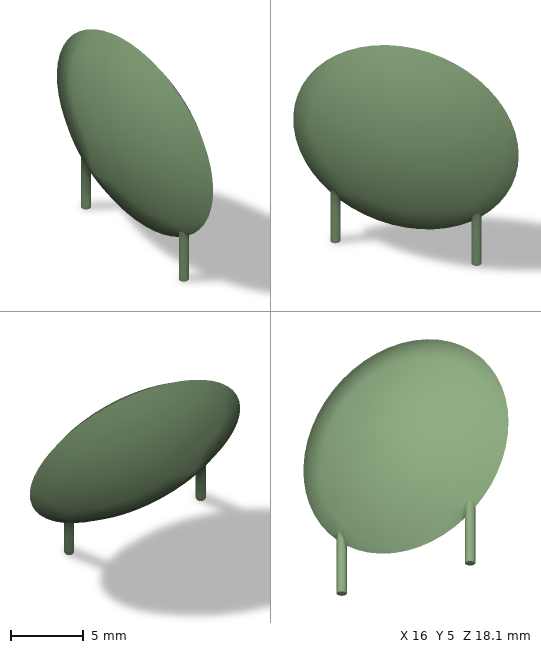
import cadquery as cq
import math

total_height = 18.1
disc_diameter = 16.0
disc_thickness = 5.0
pin_diameter = 0.7
pin_spacing = 10.01

disc_radius = disc_diameter / 2
half_thickness = disc_thickness / 2
pin_bottom = disc_radius - total_height

sphere_radius = (disc_radius**2 + half_thickness**2) / (2 * half_thickness)
half_cap_angle = math.asin(disc_radius / sphere_radius) / 2
arc_mid_x = sphere_radius * math.sin(half_cap_angle)
arc_mid_y = half_thickness - sphere_radius * (1 - math.cos(half_cap_angle))


def make_disc():
    """Biconvex disc centred on the origin, with its axis along Y."""
    return (
        cq.Workplane("XY")
        .moveTo(0, -half_thickness)
        .threePointArc((arc_mid_x, -arc_mid_y), (disc_radius, 0))
        .threePointArc((arc_mid_x, arc_mid_y), (0, half_thickness))
        .close()
        .revolve(360, (0, 0), (0, 1))
    )


def make_pins():
    """Two round vertical leads whose upper ends are buried in the disc."""
    pin_x = pin_spacing / 2
    pin_top = -disc_radius / 2
    pin = (
        cq.Workplane("XY", origin=(0, 0, pin_bottom))
        .circle(pin_diameter / 2)
        .extrude(pin_top - pin_bottom)
        .rotate((0, 0, 0), (0, 0, 1), 90)
    )
    return pin.translate((-pin_x, 0, 0)).union(pin.translate((pin_x, 0, 0)))


result = make_disc().union(make_pins())